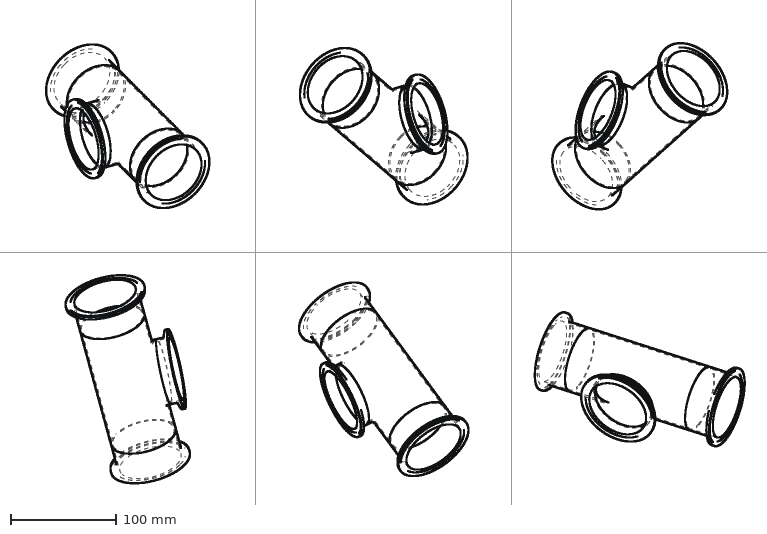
import cadquery as cq
import math


tube_diameter = 63.5
bore_diameter = 60.2
tube_radius = tube_diameter / 2
bore_radius = bore_diameter / 2

overall_length = 184.2
overall_width = 86.29
flange_diameter = 77.5
flange_radius = flange_diameter / 2
run_face_distance = overall_length / 2
branch_face_distance = overall_width - flange_radius
run_ferrule_length = 28.6
branch_ferrule_length = 12.2
run_end_distance = run_face_distance - run_ferrule_length
branch_end_distance = branch_face_distance - branch_ferrule_length

saddle_fillet = 3.45

flange_edge_thickness = 2.85
cone_angle = math.radians(20)
neck_distance = flange_edge_thickness + (flange_radius - tube_radius) * math.tan(cone_angle)
rim_fillet = 1.2
neck_fillet = 1.8

groove_radius = 35.15
groove_bottom_radius = 1.05
groove_lip_radius = 0.85
groove_slope = math.radians(65)


def cylinder(radius, start, end, direction):
    """Cylinder on an axis through the origin, between two distances along it."""
    axis = cq.Vector(*direction)
    return cq.Workplane(cq.Solid.makeCylinder(radius, end - start, axis * start, axis))


def tee_shape(radius):
    """Solid run and branch of one radius, blended along the elliptical edges where they cross."""
    run = cylinder(radius, -run_end_distance, run_end_distance, (1, 0, 0))
    branch = cylinder(radius, 0, branch_end_distance, (0, -1, 0))
    return run.union(branch).edges("%ELLIPSE").fillet(saddle_fillet)


def make_tee():
    return tee_shape(tube_radius).cut(tee_shape(bore_radius))


def add_groove(profile):
    """Continue a face line at x = 0 through the groove, from its inner lip to its outer lip."""
    half_slope = groove_slope / 2
    lip_width = groove_lip_radius * math.sin(groove_slope)
    lip_drop = groove_lip_radius * (1 - math.cos(groove_slope))
    lip_middle_drop = groove_lip_radius * (1 - math.cos(half_slope))
    bottom_half_width = groove_bottom_radius * math.sin(groove_slope)
    half_width = bottom_half_width + lip_width
    lip_middle = half_width - groove_lip_radius * math.sin(half_slope)
    depth = lip_drop + groove_bottom_radius * (1 - math.cos(groove_slope))

    inner_bottom_edge = (lip_drop, groove_radius - bottom_half_width)
    outer_bottom_edge = (lip_drop, groove_radius + bottom_half_width)
    return (
        profile
        .lineTo(0, groove_radius - half_width)
        .threePointArc((lip_middle_drop, groove_radius - lip_middle), inner_bottom_edge)
        .threePointArc((depth, groove_radius), outer_bottom_edge)
        .threePointArc((lip_middle_drop, groove_radius + lip_middle), (0, groove_radius + half_width))
    )


def ring_edge(distance):
    """Selector for the circular edge around the X axis at a distance from the flange face."""
    return cq.selectors.NearestToPointSelector((distance, 0, 0))


def make_ferrule(length, face_distance, turn):
    """Ferrule facing outwards, on the axis found by turning -X around Z by an angle in degrees."""
    profile = cq.Workplane("XY").moveTo(0, bore_radius)
    profile = (
        add_groove(profile)
        .lineTo(0, flange_radius)
        .lineTo(flange_edge_thickness, flange_radius)
        .lineTo(neck_distance, tube_radius)
        .lineTo(length, tube_radius)
        .lineTo(length, bore_radius)
        .close()
    )
    ferrule = profile.revolve(360, (0, 0, 0), (1, 0, 0))
    ferrule = ferrule.edges(ring_edge(flange_edge_thickness)).fillet(rim_fillet)
    ferrule = ferrule.edges(ring_edge(neck_distance)).fillet(neck_fillet)
    return ferrule.translate((-face_distance, 0, 0)).rotate((0, 0, 0), (0, 0, 1), turn)


tee = make_tee()
run_ferrules = [make_ferrule(run_ferrule_length, run_face_distance, turn) for turn in (0, 180)]
branch_ferrule = make_ferrule(branch_ferrule_length, branch_face_distance, 90)

ferrules = [*run_ferrules, branch_ferrule]
result = cq.Compound.makeCompound([tee.val(), *[ferrule.val() for ferrule in ferrules]])